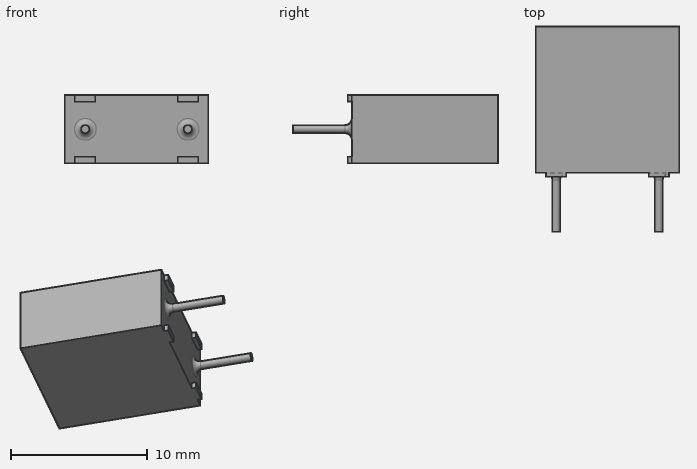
import cadquery as cq

body_width = 10.5
body_height = 5.0
overall_length = 15.0
body_length = 10.7

lead_diameter = 0.6
lead_spacing = 7.5
flare_radius = 0.5

foot_width = 1.5
foot_height = 0.5
foot_depth = 0.3

lead_length = overall_length - body_length
lead_radius = lead_diameter / 2
lead_positions = (-lead_spacing / 2, lead_spacing / 2)


def make_body():
    """Box whose front face lies on Y = 0 and which extends toward +Y."""
    return cq.Workplane("XY").box(body_width, body_length, body_height, centered=(True, False, True))


def make_foot(x, side):
    """Small block flush with the top (side = 1) or bottom (side = -1) of the body."""
    z = side * (body_height - foot_height) / 2
    return (
        cq.Workplane("XY")
        .box(foot_width, foot_depth, foot_height)
        .translate((x, -foot_depth / 2, z))
    )


def make_lead(x):
    """Round lead along -Y whose root widens to the body in a concave quarter arc."""
    flare_outer_radius = lead_radius + flare_radius
    return (
        cq.Workplane("XY")
        .lineTo(flare_outer_radius, 0)
        .radiusArc((lead_radius, -flare_radius), -flare_radius)
        .lineTo(lead_radius, -lead_length)
        .lineTo(0, -lead_length)
        .close()
        .revolve(360, (0, 0, 0), (0, 1, 0))
        .translate((x, 0, 0))
    )


result = make_body()
for lead_x in lead_positions:
    result = result.union(make_lead(lead_x))
    for foot_side in (-1, 1):
        result = result.union(make_foot(lead_x, foot_side))